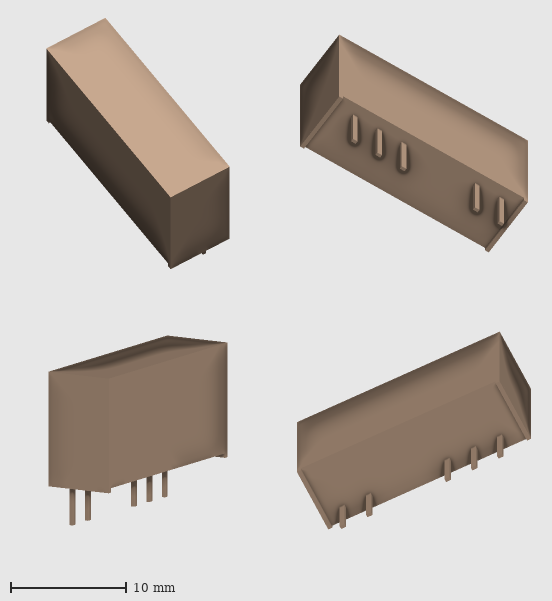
import cadquery as cq

case_length = 19.65
case_depth = 6.15
case_height = 9.75

rail_width = 0.4
rail_height = 0.4

pin_width = 0.5
pin_thickness = 0.3
pin_length = 4.0
pin_row_span = 15.25
pin_slots = [0, 1, 4, 5, 6]
pin_pitch = pin_row_span / pin_slots[-1]
first_pin_x = -case_length / 2 + 2.02
pin_row_y = case_depth / 2 - 1.22

marker_diameter = 1.0
marker_depth = 0.1
marker_x = -case_length / 2 + 2.18
marker_z = 1.6


def make_marker():
    """Disc whose outer face lies flush with the front of the case."""
    front_plane = cq.Plane(
        origin=(marker_x, -case_depth / 2, marker_z), xDir=(1, 0, 0), normal=(0, -1, 0)
    )
    return cq.Workplane(front_plane).circle(marker_diameter / 2).extrude(-marker_depth)


def make_case(marker):
    """Plain block with a recess that holds the marker."""
    block = cq.Workplane("XY").box(case_length, case_depth, case_height, centered=(True, True, False))
    return block.cut(marker)


def make_rail(side):
    """Full-depth standoff at one end; side is -1 or 1 along X."""
    rail_x = side * (case_length - rail_width) / 2
    return (
        cq.Workplane("XY")
        .center(rail_x, 0)
        .rect(rail_width, case_depth)
        .extrude(-rail_height)
    )


def make_pin(slot):
    """Straight flat pin hanging from the underside of the case."""
    return (
        cq.Workplane("XY")
        .center(first_pin_x + slot * pin_pitch, pin_row_y)
        .rect(pin_width, pin_thickness)
        .extrude(-pin_length)
    )


marker = make_marker()
case = make_case(marker)
rails = [make_rail(side) for side in (-1, 1)]
pins = [make_pin(slot) for slot in pin_slots]

result = cq.Compound.makeCompound(
    [case.val(), marker.val()] + [body.val() for body in rails + pins]
)